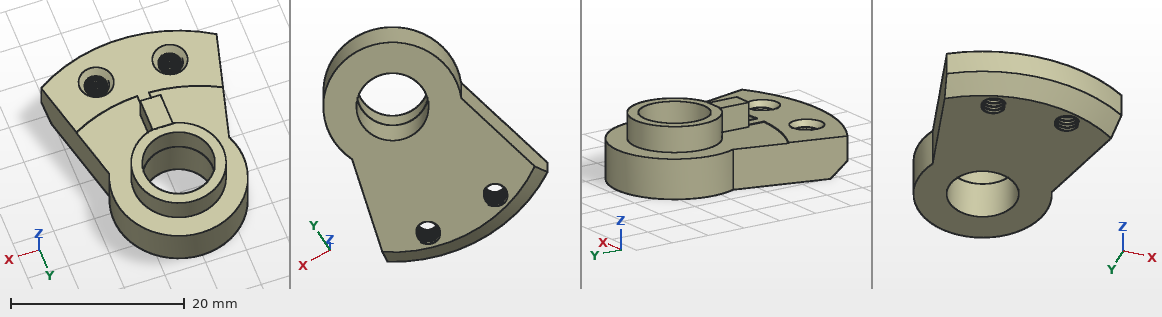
import cadquery as cq
import math

total_length = 27.9
hub_radius = 7.98
fan_radius = total_length - hub_radius
fan_width = 21.5
fan_half_width = fan_width / 2
neck_half_width = 7.35

hub_height = 4.88
pad_height = 4.97
key_height = 7.85
boss_height = 8.0

boss_radius = 5.47
upper_bore_radius = 4.18
lower_bore_radius = 4.15
key_width = 2.48
key_reach = 9.5
boss_flat_distance = 5.27

pad_inner_reach = 12
pad_inner_radius = 18.97
tongue_width = 1.42
rim_chamfer = 1.98

hole_half_spacing = 4.52
hole_distance = 15.35
thread_minor_radius = 2.6 / 2
thread_major_radius = 1.5
thread_pitch = 0.5
thread_start_angle = 240
groove_width = 0.45
groove_overlap = 0.05
countersink_radius = 2.05


def disc(radius, height):
    """Cylinder on the hub axis, standing on the underside."""
    return cq.Workplane("XY").circle(radius).extrude(height)


def bar(width, start, end, height):
    """Straight bar along -Y between two distances from the hub axis."""
    return (
        cq.Workplane("XY")
        .center(0, -(start + end) / 2)
        .rect(width, end - start)
        .extrude(height)
    )


def fan(height):
    """Fan-shaped plate from the neck to the curved outer rim."""
    neck_y = -math.sqrt(hub_radius**2 - neck_half_width**2)
    corner_y = -math.sqrt(fan_radius**2 - fan_half_width**2)
    return (
        cq.Workplane("XY")
        .moveTo(-neck_half_width, neck_y)
        .lineTo(-fan_half_width, corner_y)
        .threePointArc((0, -fan_radius), (fan_half_width, corner_y))
        .lineTo(neck_half_width, neck_y)
        .close()
        .extrude(height)
    )


def raised_pad():
    """Outer part of the fan; its inner edge is a slightly tighter arc than the rim."""
    inner_disc = disc(pad_inner_radius, pad_height).translate((0, pad_inner_radius - pad_inner_reach, 0))
    return fan(pad_height).cut(inner_disc)


def rim_limit():
    """Disc with a 45 degree conical lower edge that bounds the fan rim."""
    return disc(fan_radius, boss_height).faces("<Z").chamfer(rim_chamfer)


def boss():
    """Round boss, cut flat above the key where the key meets it."""
    flat_cutter = bar(key_reach, boss_flat_distance, key_reach, boss_height)
    flat_cutter = flat_cutter.cut(bar(key_reach, boss_flat_distance, key_reach, key_height))
    return disc(boss_radius, boss_height).cut(flat_cutter)


def bore():
    """Through bore, very slightly wider inside the boss."""
    upper = disc(upper_bore_radius, boss_height - hub_height).translate((0, 0, hub_height))
    return disc(lower_bore_radius, boss_height).union(upper)


def countersunk_hole():
    """Through hole at the thread's minor diameter with a 45 degree countersink."""
    countersink_depth = countersink_radius - thread_minor_radius
    return (
        cq.Workplane("XZ")
        .polyline([
            (0, 0),
            (thread_minor_radius, 0),
            (thread_minor_radius, pad_height - countersink_depth),
            (countersink_radius, pad_height),
            (0, pad_height),
        ])
        .close()
        .revolve(360, (0, 0), (0, 1))
    )


def thread_turn():
    """One turn of the helical V groove."""
    helix = cq.Wire.makeHelix(thread_pitch, thread_pitch, thread_minor_radius)
    inner_radius = thread_minor_radius - groove_overlap
    return (
        cq.Workplane("XZ")
        .polyline([
            (inner_radius, -groove_width / 2),
            (thread_major_radius, 0),
            (inner_radius, groove_width / 2),
        ])
        .close()
        .sweep(cq.Workplane(obj=helix), isFrenet=True)
        .rotate((0, 0, 0), (0, 0, 1), thread_start_angle)
    )


body = disc(hub_radius, hub_height).union(fan(hub_height)).union(raised_pad())
body = body.union(bar(tongue_width, key_reach, pad_inner_reach, pad_height))
body = body.intersect(rim_limit().union(disc(hub_radius, boss_height)))
body = body.union(boss()).union(bar(key_width, boss_flat_distance, key_reach, key_height))
body = body.cut(bore())

for side in (-1, 1):
    hole_position = cq.Vector(side * hole_half_spacing, -hole_distance, 0)
    body = body.cut(countersunk_hole().translate(hole_position))
    for turn in range(-1, math.ceil(pad_height / thread_pitch)):
        turn_position = hole_position + cq.Vector(0, 0, turn * thread_pitch)
        body = body.cut(thread_turn().translate(turn_position))

result = body